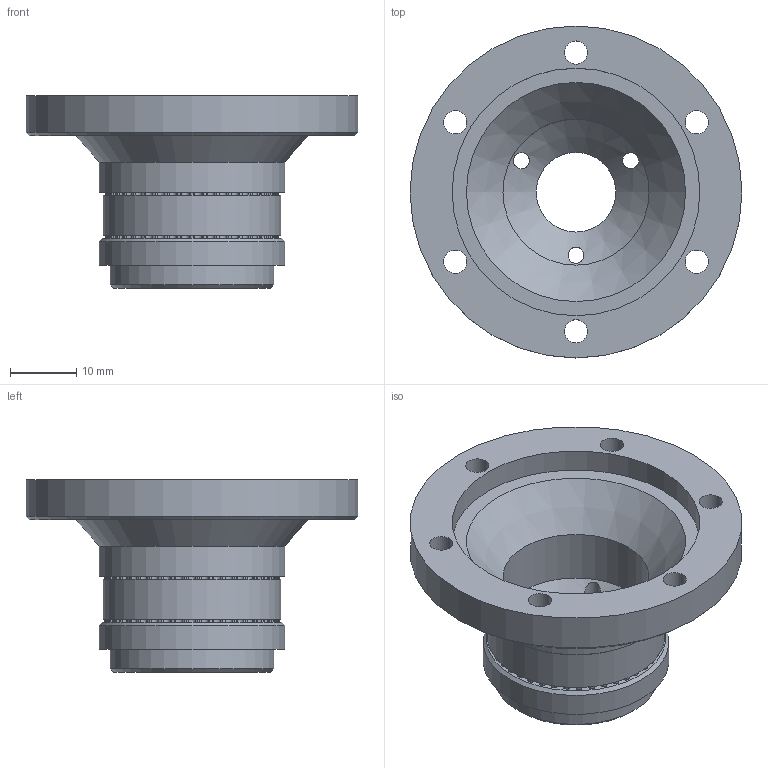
import cadquery as cq
import math

SPIGOT_TOP_Z = 3.5
LOWER_COLLAR_TOP_Z = 7.5
BELT_BOTTOM_Z = 8.0
BELT_WIDTH = 6.0
BELT_CLEARANCE = 0.5
BELT_TOP_Z = BELT_BOTTOM_Z + BELT_WIDTH
UPPER_COLLAR_BOTTOM_Z = BELT_TOP_Z + BELT_CLEARANCE
UPPER_COLLAR_TOP_Z = 19.0
FLANGE_BOTTOM_Z = 23.0
TOTAL_HEIGHT = 29.0

SPIGOT_DIAMETER = 24.7
COLLAR_DIAMETER = 28.0
NECK_TOP_DIAMETER = 35.0
FLANGE_DIAMETER = 50.0
EDGE_CHAMFER = 0.5

TOOTH_COUNT = 42
TOOTH_PITCH = 2.0
PITCH_LINE_OFFSET = 0.254
PITCH_DIAMETER = TOOTH_COUNT * TOOTH_PITCH / math.pi
TOOTH_TIP_RADIUS = PITCH_DIAMETER / 2 - PITCH_LINE_OFFSET
GROOVE_DEPTH = 0.75
GROOVE_BOTTOM_RADIUS = 0.56
GROOVE_LIP_RADIUS = 0.2

BORE_DIAMETER = 12.0
POCKET_DIAMETER = 22.0
POCKET_BOTTOM_Z = 11.0
FLOOR_DROP = 5.0
BORE_TOP_Z = POCKET_BOTTOM_Z - FLOOR_DROP
CONE_BOTTOM_Z = 19.0
CONE_TOP_DIAMETER = 33.0
RECESS_DIAMETER = 37.3
RECESS_FLOOR_Z = 25.5

FLANGE_HOLE_COUNT = 6
FLANGE_HOLE_DIAMETER = 3.5
FLANGE_HOLE_CIRCLE_RADIUS = 21.0
FLOOR_HOLE_COUNT = 3
FLOOR_HOLE_DIAMETER = 2.4
FLOOR_HOLE_CIRCLE_RADIUS = 9.5
FIRST_HOLE_ANGLE = 30.0


def cylinder(diameter, bottom_z, top_z):
    """Upright cylinder on the part axis."""
    return cq.Workplane("XY").workplane(offset=bottom_z).circle(diameter / 2).extrude(top_z - bottom_z)


def cone(bottom_diameter, top_diameter, bottom_z, top_z):
    """Upright truncated cone on the part axis."""
    solid = cq.Solid.makeCone(
        bottom_diameter / 2,
        top_diameter / 2,
        top_z - bottom_z,
        pnt=cq.Vector(0, 0, bottom_z),
    )
    return cq.Workplane(obj=solid)


def tooth_groove():
    """Cutter for one U-shaped groove with rounded lips on the +X side, running the full pulley width."""
    outside_x = PITCH_DIAMETER / 2
    bottom_x = TOOTH_TIP_RADIUS - GROOVE_DEPTH
    arc_center_x = bottom_x + GROOVE_BOTTOM_RADIUS
    mouth_half_width = GROOVE_BOTTOM_RADIUS + GROOVE_LIP_RADIUS
    mouth_x = math.sqrt(TOOTH_TIP_RADIUS**2 - mouth_half_width**2)
    lip_start_x = mouth_x - GROOVE_LIP_RADIUS
    lip_middle_x = lip_start_x + GROOVE_LIP_RADIUS * math.sin(math.pi / 4)
    lip_middle_y = mouth_half_width - GROOVE_LIP_RADIUS * math.cos(math.pi / 4)
    return (
        cq.Workplane("XY")
        .workplane(offset=LOWER_COLLAR_TOP_Z)
        .moveTo(outside_x, -mouth_half_width)
        .lineTo(mouth_x, -mouth_half_width)
        .threePointArc((lip_middle_x, -lip_middle_y), (lip_start_x, -GROOVE_BOTTOM_RADIUS))
        .lineTo(arc_center_x, -GROOVE_BOTTOM_RADIUS)
        .threePointArc((bottom_x, 0), (arc_center_x, GROOVE_BOTTOM_RADIUS))
        .lineTo(lip_start_x, GROOVE_BOTTOM_RADIUS)
        .threePointArc((lip_middle_x, lip_middle_y), (mouth_x, mouth_half_width))
        .lineTo(outside_x, mouth_half_width)
        .close()
        .extrude(UPPER_COLLAR_BOTTOM_Z - LOWER_COLLAR_TOP_Z)
    )


def toothed_pulley():
    """Toothed rim with the belt band around the middle of its width."""
    pulley = cylinder(2 * TOOTH_TIP_RADIUS, LOWER_COLLAR_TOP_Z, UPPER_COLLAR_BOTTOM_Z)
    groove = tooth_groove().val()
    origin = cq.Vector(0, 0, 0)
    axis_end = cq.Vector(0, 0, 1)
    tooth_angle = 360 / TOOTH_COUNT
    grooves = [groove.rotate(origin, axis_end, index * tooth_angle) for index in range(TOOTH_COUNT)]
    toothed = cq.Workplane(obj=pulley.val().cut(*grooves))
    return toothed.union(cylinder(PITCH_DIAMETER, BELT_BOTTOM_Z, BELT_TOP_Z))


def outer_body():
    """Spigot, collars, pulley, flared neck and flange stacked along Z."""
    spigot = cylinder(SPIGOT_DIAMETER, 0, SPIGOT_TOP_Z).faces("<Z").chamfer(EDGE_CHAMFER)
    lower_collar = cylinder(COLLAR_DIAMETER, SPIGOT_TOP_Z, LOWER_COLLAR_TOP_Z)
    lower_collar = lower_collar.faces(">Z").chamfer(EDGE_CHAMFER)
    upper_collar = cylinder(COLLAR_DIAMETER, UPPER_COLLAR_BOTTOM_Z, UPPER_COLLAR_TOP_Z)
    neck = cone(COLLAR_DIAMETER, NECK_TOP_DIAMETER, UPPER_COLLAR_TOP_Z, FLANGE_BOTTOM_Z)
    flange = cylinder(FLANGE_DIAMETER, FLANGE_BOTTOM_Z, TOTAL_HEIGHT).faces("<Z").chamfer(EDGE_CHAMFER)
    return toothed_pulley().union(spigot).union(lower_collar).union(upper_collar).union(neck).union(flange)


def stepped_bore():
    """Cutter for the bore, the sloping floor, the pocket, the tapered funnel and the top recess."""
    bore = cylinder(BORE_DIAMETER, 0, BORE_TOP_Z)
    floor = cone(BORE_DIAMETER, POCKET_DIAMETER, BORE_TOP_Z, POCKET_BOTTOM_Z)
    pocket = cylinder(POCKET_DIAMETER, POCKET_BOTTOM_Z, CONE_BOTTOM_Z)
    funnel = cone(POCKET_DIAMETER, CONE_TOP_DIAMETER, CONE_BOTTOM_Z, RECESS_FLOOR_Z)
    recess = cylinder(RECESS_DIAMETER, RECESS_FLOOR_Z, TOTAL_HEIGHT)
    return bore.union(floor).union(pocket).union(funnel).union(recess)


def hole_circle(count, diameter, circle_radius):
    """Cutters for evenly spaced vertical through holes."""
    return (
        cq.Workplane("XY")
        .polarArray(circle_radius, FIRST_HOLE_ANGLE, 360, count)
        .circle(diameter / 2)
        .extrude(TOTAL_HEIGHT)
    )


flange_holes = hole_circle(FLANGE_HOLE_COUNT, FLANGE_HOLE_DIAMETER, FLANGE_HOLE_CIRCLE_RADIUS)
floor_holes = hole_circle(FLOOR_HOLE_COUNT, FLOOR_HOLE_DIAMETER, FLOOR_HOLE_CIRCLE_RADIUS)

result = outer_body().cut(stepped_bore()).cut(flange_holes).cut(floor_holes)